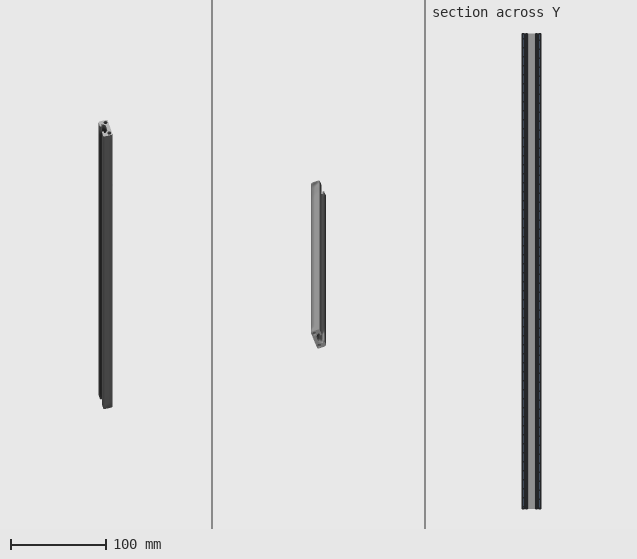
import cadquery as cq

WIDTH = 20.0
DEPTH = 10.0
LENGTH = 500.0
CORNER_RADIUS = 1.5

MOUTH_WIDTH = 6.2
MOUTH_CHAMFER = 0.8
LIP_THICKNESS = 1.85
CAVITY_WIDTH = 11.2
SLOT_DEPTH = 6.12
FLOOR_CHAMFER = 2.4

CORE_DIAMETER = 4.0
CORE_SPACING = 14.0
CORE_FROM_BACK = 3.0


def bar():
    """Solid bar, centred on the origin, with its four long edges rounded."""
    return cq.Workplane("XY").box(WIDTH, DEPTH, LENGTH).edges("|Z").fillet(CORNER_RADIUS)


def slot():
    """T-slot with a chamfered mouth and 45 degree corners at the floor of its cavity."""
    front = -DEPTH / 2
    lip_back = front + LIP_THICKNESS
    floor = front + SLOT_DEPTH
    mouth_side = MOUTH_WIDTH / 2
    cavity_side = CAVITY_WIDTH / 2
    right_half = [
        (mouth_side + MOUTH_CHAMFER, front),
        (mouth_side, front + MOUTH_CHAMFER),
        (mouth_side, lip_back),
        (cavity_side, lip_back),
        (cavity_side, floor - FLOOR_CHAMFER),
        (cavity_side - FLOOR_CHAMFER, floor),
    ]
    left_half = [(-x, y) for x, y in reversed(right_half)]
    outline = cq.Workplane("XY").polyline(right_half + left_half).close()
    return outline.extrude(LENGTH / 2, both=True)


def cores():
    """The two round cores, running the full length."""
    core_y = DEPTH / 2 - CORE_FROM_BACK
    centres = [(side * CORE_SPACING / 2, core_y) for side in (-1, 1)]
    circles = cq.Workplane("XY").pushPoints(centres).circle(CORE_DIAMETER / 2)
    return circles.extrude(LENGTH / 2, both=True)


result = bar().cut(slot()).cut(cores())